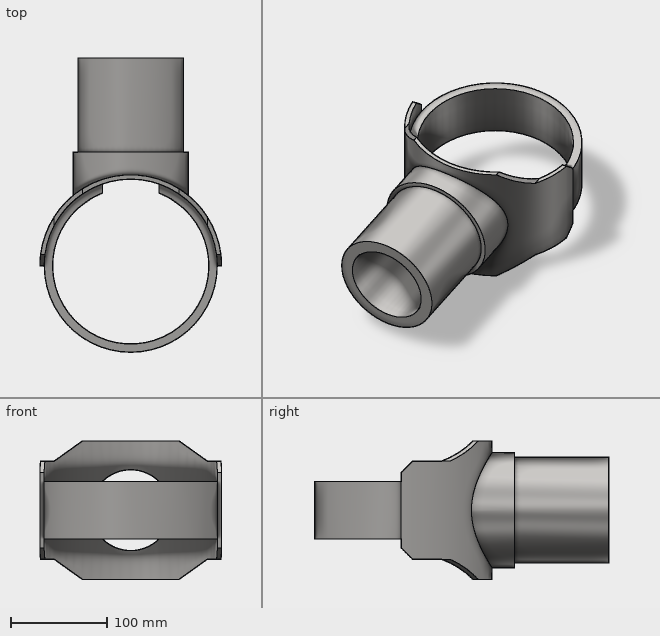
import cadquery as cq

overall_length = 306.0
ring_outer_radius = 90.0
ring_inner_radius = 81.0
ring_height = 60.0
saddle_thickness = 4.5
saddle_outer_radius = ring_outer_radius + saddle_thickness
saddle_height = 144.0
wing_height = 102.2
crown_half_width = 50.2
wing_start = 79.5
wing_chamfer = 12.0
pipe_radius = 55.0
pipe_end = overall_length - ring_outer_radius
collar_radius = 60.0
collar_end = 118.0
bore_radius = 42.0


def tube(outer_radius, inner_radius, height):
    """Vertical tube centred on the origin."""
    return (
        cq.Workplane("XY", origin=(0, 0, -height / 2))
        .circle(outer_radius)
        .circle(inner_radius)
        .extrude(height)
    )


def rod(radius, end):
    """Solid cylinder along +Y, starting at the ring axis."""
    return cq.Workplane("XZ").circle(radius).extrude(-end)


def make_saddle():
    """Half shell around the ring, with sloping shoulders and chamfered wing ends."""
    front_outline = (
        cq.Workplane("XZ")
        .moveTo(-crown_half_width, saddle_height / 2)
        .lineTo(crown_half_width, saddle_height / 2)
        .lineTo(wing_start, wing_height / 2)
        .lineTo(saddle_outer_radius, wing_height / 2)
        .lineTo(saddle_outer_radius, -wing_height / 2)
        .lineTo(wing_start, -wing_height / 2)
        .lineTo(crown_half_width, -saddle_height / 2)
        .lineTo(-crown_half_width, -saddle_height / 2)
        .lineTo(-wing_start, -wing_height / 2)
        .lineTo(-saddle_outer_radius, -wing_height / 2)
        .lineTo(-saddle_outer_radius, wing_height / 2)
        .lineTo(-wing_start, wing_height / 2)
        .close()
        .extrude(-saddle_outer_radius)
    )
    wing_end = wing_height / 2 - wing_chamfer
    chamfer_reach = saddle_height / 2 - wing_end
    side_outline = (
        cq.Workplane("YZ")
        .moveTo(0, -wing_end)
        .lineTo(chamfer_reach, -saddle_height / 2)
        .lineTo(saddle_outer_radius, -saddle_height / 2)
        .lineTo(saddle_outer_radius, saddle_height / 2)
        .lineTo(chamfer_reach, saddle_height / 2)
        .lineTo(0, wing_end)
        .close()
        .extrude(saddle_outer_radius, both=True)
    )
    shell = tube(saddle_outer_radius, ring_outer_radius, saddle_height)
    return shell.intersect(front_outline).intersect(side_outline)


def make_spigot():
    """Pipe and collar, shaped at the root to sit on the saddle."""
    root = cq.Workplane("XY").circle(ring_outer_radius).extrude(saddle_height / 2, both=True)
    return rod(collar_radius, collar_end).union(rod(pipe_radius, pipe_end)).cut(root)


ring = tube(ring_outer_radius, ring_inner_radius, ring_height)
body = ring.union(make_saddle()).union(make_spigot())

result = body.cut(rod(bore_radius, pipe_end)).clean()